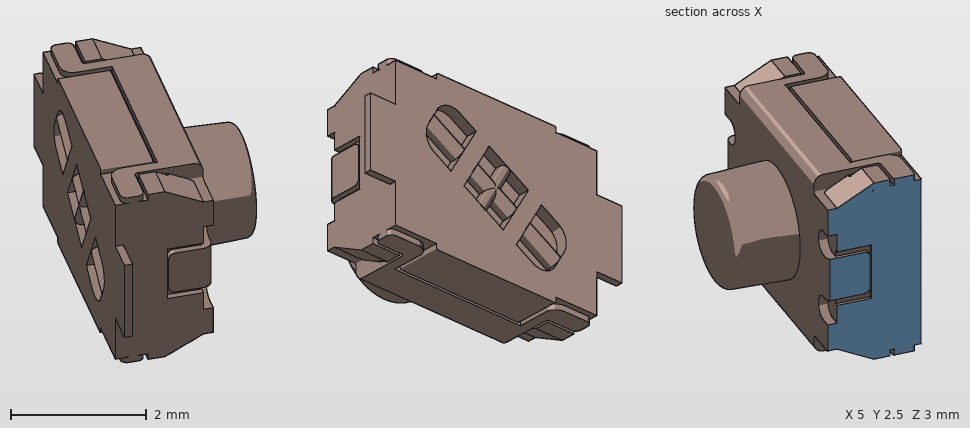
import cadquery as cq
import math

length = 5.0
body_length = 4.0
depth = 1.5
height = 3.0
half_body = body_length / 2
half_height = height / 2

sheet = 0.1
core_half_height = half_height - sheet
cover_half = 1.43
cover_bend = 0.15
window_half = 1.25
window_top = 0.85
foot_bottom = 0.1
foot_top = 0.45
foot_corner = 0.1
leg_outer_corner = 0.2
leg_inner_corner = 0.05

lug_half = 1.19
lug_top = 0.8
lug_round = 0.04

ear_gap = 0.045
ear_bottom = 0.5
slope_start = 0.76
slope_end = 1.35
ledge_height = 1.2
ear_fillet = 0.05

terminal_half_height = 0.655
terminal_thickness = 0.125

relief_outer = 0.75
relief_length = 0.4
relief_depth = 0.15
relief_floor = depth - relief_depth
recess_half = 0.45
recess_bottom = 0.8
recess_depth = 0.1
tab_half = 0.355
tab_bottom = 0.815
tab_corner = 0.1

button_base_radius = 0.9
button_top_radius = 0.865
button_height = 1.0
button_round = 0.1

pocket_tilt = -30.0
pocket_depth = 0.2
rib_crest = 0.005
pocket_half_width = 0.5
middle_half_length = 0.45
end_pocket_inner = 0.75
end_pocket_outer = 1.455
end_pocket_corner = 0.325
long_rib_radius = 0.15
cross_rib_radius = 0.095


def box(x_range, y_range, z_range):
    """Block spanning the three given ranges."""
    spans = [high - low for low, high in (x_range, y_range, z_range)]
    corner = (x_range[0], y_range[0], z_range[0])
    return cq.Workplane("XY").box(*spans, centered=False).translate(corner)


def both_x(solid):
    """The solid together with its mirror image across X = 0."""
    return solid.union(solid.mirror("YZ"))


def both_z(solid):
    """The solid together with its mirror image across Z = 0."""
    return solid.union(solid.mirror("XY"))


def slope_y(z):
    """Y position where the ear slope reaches height z."""
    run = slope_end - slope_start
    return slope_start + run * (half_height - z) / (half_height - ledge_height)


def make_core():
    """Plastic body whose top and bottom slope down to ledges at the cover face."""
    upper = [
        (0, core_half_height),
        (slope_y(core_half_height), core_half_height),
        (slope_end, ledge_height),
        (depth, ledge_height),
    ]
    lower = [(y, -z) for y, z in reversed(upper)]
    return cq.Workplane("YZ").polyline(upper + lower).close().extrude(half_body, both=True)


def make_ears():
    """Raised ear tips beside the cover, and the fillets where the ledges meet the cover."""
    tip = (
        cq.Workplane("YZ", origin=(cover_half + ear_gap, 0, 0))
        .moveTo(ear_bottom, core_half_height)
        .lineTo(ear_bottom, half_height)
        .lineTo(slope_start, half_height)
        .lineTo(slope_y(core_half_height), core_half_height)
        .close()
        .extrude(half_body - cover_half - ear_gap)
    )
    fillet_start = slope_y(ledge_height + ear_fillet)
    fillet = box(
        (cover_half, cover_half + ear_fillet),
        (fillet_start, depth),
        (ledge_height, ledge_height + ear_fillet),
    )
    hollow = (
        cq.Workplane("XZ", origin=(0, fillet_start, 0))
        .center(cover_half + ear_fillet, ledge_height + ear_fillet)
        .circle(ear_fillet)
        .extrude(fillet_start - depth)
    )
    return both_z(both_x(tip.union(fillet.cut(hollow))))


def make_cover():
    """Cover wrapped over the body, with four L-shaped legs ending in feet."""
    wrap = box((-cover_half, cover_half), (window_top, depth), (-half_height, half_height))
    wrap = wrap.edges("|X and >Y").fillet(cover_bend)
    leg = (
        cq.Workplane("XY", origin=(0, 0, core_half_height))
        .moveTo(window_half, window_top)
        .lineTo(window_half, foot_bottom)
        .lineTo(half_body, foot_bottom)
        .lineTo(half_body, foot_top)
        .lineTo(cover_half, foot_top)
        .lineTo(cover_half, window_top)
        .close()
        .extrude(sheet)
    )
    leg_middle = half_height - sheet / 2
    outer_corner = cq.NearestToPointSelector((window_half, foot_bottom, leg_middle))
    inner_corner = cq.NearestToPointSelector((cover_half, foot_top, leg_middle))
    leg = leg.edges("|Z and >X").fillet(foot_corner)
    leg = leg.edges(outer_corner).fillet(leg_outer_corner)
    leg = leg.edges(inner_corner).fillet(leg_inner_corner)
    return wrap.union(both_z(both_x(leg)))


def make_lug():
    """Raised plastic block between the cover feet, above and below."""
    lug = box((-lug_half, lug_half), (0, lug_top), (-half_height, half_height))
    return lug.edges("|Y").fillet(lug_round)


def make_terminals():
    """Flat plate running through the mounting face and out of both ends."""
    return box(
        (-length / 2, length / 2),
        (0, terminal_thickness),
        (-terminal_half_height, terminal_half_height),
    )


def make_side_cuts():
    """Recess for the cover tab and the reliefs above and below its neck, at both ends."""
    relief_radius = (relief_outer - tab_half) / 2
    relief_end = -half_body + relief_length
    relief = (
        cq.Workplane("XZ", origin=(0, relief_floor, 0))
        .moveTo(-half_body, tab_half)
        .lineTo(relief_end - relief_radius, tab_half)
        .threePointArc(
            (relief_end, tab_half + relief_radius),
            (relief_end - relief_radius, relief_outer),
        )
        .lineTo(-half_body, relief_outer)
        .close()
        .extrude(-relief_depth)
    )
    recess = box(
        (-half_body, -half_body + recess_depth),
        (recess_bottom, relief_floor),
        (-recess_half, recess_half),
    )
    bend = (
        cq.Workplane("XY", origin=(0, 0, -tab_half))
        .moveTo(-half_body, depth)
        .lineTo(-half_body, depth - cover_bend)
        .radiusArc((-half_body + cover_bend, depth), cover_bend)
        .close()
        .extrude(2 * tab_half)
    )
    return both_x(both_z(relief).union(recess).union(bend))


def make_tabs():
    """Cover tabs bent over the ends of the body, lying in the side recesses."""
    tab = box(
        (-half_body, -half_body + recess_depth),
        (tab_bottom, relief_floor),
        (-tab_half, tab_half),
    )
    return both_x(tab.edges("|X and <Y").fillet(tab_corner))


def make_button():
    """Tapered round button with a rounded rim."""
    taper = math.degrees(math.atan((button_base_radius - button_top_radius) / button_height))
    button = (
        cq.Workplane("XZ", origin=(0, depth, 0))
        .circle(button_base_radius)
        .extrude(-button_height, taper=taper)
    )
    return button.faces(">Y").edges().fillet(button_round)


def make_rib(radius, reach):
    """Round-topped rib along X, standing on the pocket floor."""
    crown_center = rib_crest + radius
    crown = cq.Workplane("YZ").center(crown_center, 0).circle(radius).extrude(reach, both=True)
    web = box((-reach, reach), (crown_center, pocket_depth), (-radius, radius))
    return crown.union(web)


def make_pockets():
    """Three pockets crossed by round ribs, to be cut from the mounting face."""
    width_range = (-pocket_half_width, pocket_half_width)
    middle = box((-middle_half_length, middle_half_length), (0, pocket_depth), width_range)
    end = box((end_pocket_inner, end_pocket_outer), (0, pocket_depth), width_range)
    end = end.edges("|Y and >X").fillet(end_pocket_corner)
    long_rib = make_rib(long_rib_radius, end_pocket_outer)
    cross_rib = make_rib(cross_rib_radius, pocket_half_width).rotate((0, 0, 0), (0, 1, 0), 90)
    pockets = middle.union(both_x(end)).cut(long_rib).cut(cross_rib)
    return pockets.rotate((0, 0, 0), (0, 1, 0), -pocket_tilt)


result = (
    make_core()
    .union(make_ears())
    .union(make_cover())
    .union(make_lug())
    .union(make_terminals())
    .cut(make_side_cuts())
    .union(make_tabs())
    .union(make_button())
    .cut(make_pockets())
)